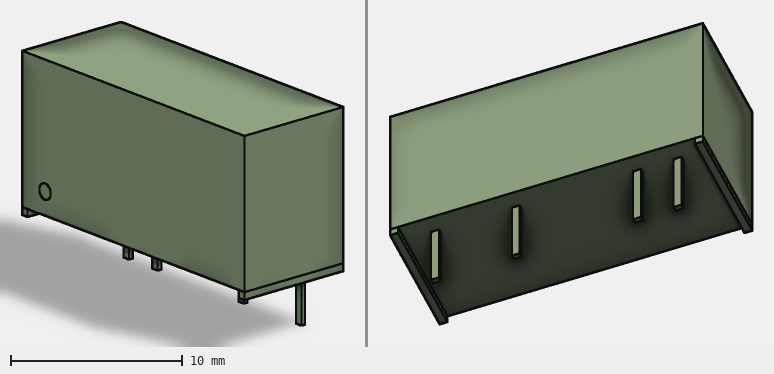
import cadquery as cq

LENGTH = 19.65
DEPTH = 7.65
HEIGHT = 9.65

RAIL_WIDTH = 0.5
RAIL_HEIGHT = 0.5

PIN_WIDTH = 0.5
PIN_THICKNESS = 0.3
PIN_LENGTH = 4.1
PIN_GRID_SLOTS = (0, 1, 4, 6)
PIN_ROW_SPAN = 15.25
PIN_PITCH = PIN_ROW_SPAN / PIN_GRID_SLOTS[-1]
FIRST_PIN_X = -7.8
PIN_Y = 2.6

MARK_DIAMETER = 1.0
MARK_DEPTH = 0.1
MARK_Z = 1.5


def make_marker():
    """Disc in line with the first pin, flush with the front face."""
    front_face = cq.Workplane("XZ", origin=(FIRST_PIN_X, -DEPTH / 2, MARK_Z))
    return front_face.circle(MARK_DIAMETER / 2).extrude(-MARK_DEPTH)


def make_housing(marker):
    """Plain block with a recess that matches the marker."""
    block = cq.Workplane("XY").box(LENGTH, DEPTH, HEIGHT, centered=(True, True, False))
    return block.cut(marker)


def make_rail(side):
    """Rail under one end of the housing; side is -1 or +1 along X."""
    rail_x = side * (LENGTH - RAIL_WIDTH) / 2
    rail = cq.Workplane("XY").box(RAIL_WIDTH, DEPTH, RAIL_HEIGHT, centered=(True, True, False))
    return rail.translate((rail_x, 0, -RAIL_HEIGHT))


def make_pin(slot):
    """Pin hanging from the underside at the given grid slot."""
    pin_x = FIRST_PIN_X + slot * PIN_PITCH
    pin = cq.Workplane("XY").box(PIN_WIDTH, PIN_THICKNESS, PIN_LENGTH, centered=(True, True, False))
    return pin.translate((pin_x, PIN_Y, -PIN_LENGTH))


marker = make_marker()
housing = make_housing(marker)
rails = [make_rail(side) for side in (-1, 1)]
pins = [make_pin(slot) for slot in PIN_GRID_SLOTS]

bodies = [housing, marker, *rails, *pins]
result = cq.Compound.makeCompound([body.val() for body in bodies])